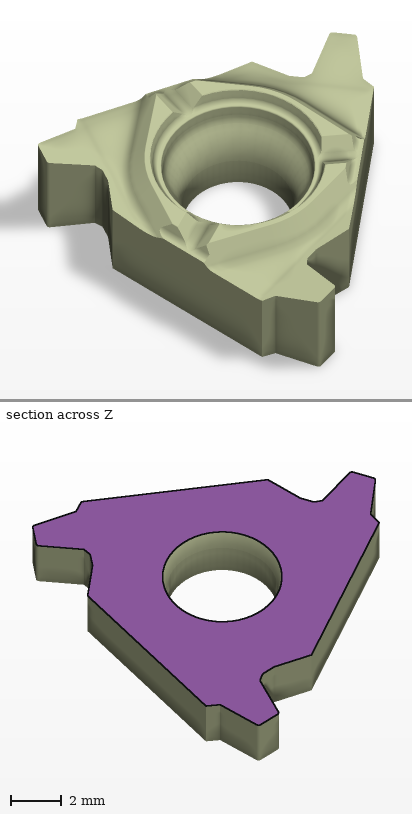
import cadquery as cq
import math

REPEATS = 3
STEP_ANGLE = 360 / REPEATS
RIGHT_ANGLE = 90

total_height = 4.2
land_height = 3.43
tooth_height = 4.0
shelf_height = 3.69

inscribed_radius = 9.525 / 2
tooth_tip_y = -6.987
tooth_foot_y = -5.17
tooth_flank_angle = 15
tooth_tip_left = -3.80
tooth_tip_right = -2.74
tooth_tip_fillet = 0.13
corner_y = -4.875
valley_start = (-1.965, -4.97)
valley_end = (-1.385, -4.965)
valley_fillet = 0.16
shoulder_tip_x = 0.16
outline_reach = 10.0
selection_reach = 0.05

ramp_start_y = -4.70
ramp_blend_length = 0.06

collar_top_reach = 3.68
collar_wall_angle = 47
collar_fillet = 0.38
collar_arc_angle = 31.5

hole_radius = 2.2
seat_height = 1.32
seat_curve_radius = 2.25
seat_curve_angle = 44
bore_bottom_radius = 2.98
bore_bottom_height = 3.23
bore_radius = 3.02
bore_edge_radius = 0.06
shelf_fillet_inner = 3.15
shelf_fillet_outer = 3.35
shelf_fillet_top = 3.82
recess_radius = 3.46

notch_angle = 193.6
notch_wall_angle = 38
notch_floor_width = 0.06
notch_floor_fillet = 0.30
notch_half_width = 0.73
notch_inner_radius = 3.0

step_rim_width = 0.10
step_curve_width = 0.25
step_curve_height = 0.17
step_depth = 0.49
step_y_min = -1.98
step_y_max = 0.48

top_edge_fillet = 0.04


def turned(point, degrees):
    """Rotate a plan point about the hole axis."""
    angle = math.radians(degrees)
    x, y = point
    return (
        x * math.cos(angle) - y * math.sin(angle),
        x * math.sin(angle) + y * math.cos(angle),
    )


def three_around(shape):
    """Unite the shape with its two copies turned about the hole axis."""
    united = shape
    for index in range(1, REPEATS):
        united = united.union(shape.rotate((0, 0, 0), (0, 0, 1), index * STEP_ANGLE))
    return united


def outline_prism(height):
    """Prism of the whole plan outline, with its three teeth."""
    flank_run = (tooth_foot_y - tooth_tip_y) * math.tan(math.radians(tooth_flank_angle))
    side_normal = math.radians(STEP_ANGLE / 2)
    shoulder_tip_y = (shoulder_tip_x * math.cos(side_normal) - inscribed_radius) / math.sin(side_normal)
    corner = (-inscribed_radius, corner_y)
    foot_left = (tooth_tip_left - flank_run, tooth_foot_y)
    tip_left = (tooth_tip_left, tooth_tip_y)
    tip_right = (tooth_tip_right, tooth_tip_y)
    foot_right = (tooth_tip_right + flank_run, tooth_foot_y)
    shoulder_tip = (shoulder_tip_x, shoulder_tip_y)
    tooth_points = (foot_left, tip_left, tip_right, foot_right, valley_start, valley_end, shoulder_tip)
    fillets = {
        tip_left: tooth_tip_fillet,
        tip_right: tooth_tip_fillet,
        valley_start: valley_fillet,
        valley_end: valley_fillet,
    }

    outline = cq.Workplane("XY").moveTo(*corner)
    for index in range(REPEATS):
        angle = index * STEP_ANGLE
        if index:
            outline = outline.lineTo(*turned(corner, angle))
        for point in tooth_points:
            outline = outline.lineTo(*turned(point, angle))
    prism = outline.close().extrude(height)

    for index in range(REPEATS):
        for point, radius in fillets.items():
            x, y = turned(point, index * STEP_ANGLE)
            near_point = cq.selectors.BoxSelector(
                (x - selection_reach, y - selection_reach, 0),
                (x + selection_reach, y + selection_reach, height),
            )
            prism = prism.edges("|Z").edges(near_point).fillet(radius)
    return prism


def tooth_ramp():
    """Wedge that lifts the top of the lower tooth towards its tip."""
    slope = (tooth_height - land_height) / (ramp_start_y - tooth_tip_y)
    blend_rise = slope * ramp_blend_length
    return (
        cq.Workplane("YZ")
        .moveTo(ramp_start_y + ramp_blend_length, 0)
        .lineTo(ramp_start_y + ramp_blend_length, land_height)
        .threePointArc(
            (ramp_start_y, land_height + blend_rise / 4),
            (ramp_start_y - ramp_blend_length, land_height + blend_rise),
        )
        .lineTo(tooth_tip_y, tooth_height)
        .lineTo(tooth_tip_y, 0)
        .close()
        .extrude(outline_reach, both=True)
    )


def collar_section(plane, outward):
    """Half section of the collar: sloped wall with a fillet at its foot."""
    wall = math.radians(collar_wall_angle)
    foot = collar_top_reach + (total_height - land_height) / math.tan(wall)
    tangent_length = collar_fillet * math.tan(wall / 2)
    wall_end = (
        outward * (foot - tangent_length * math.cos(wall)),
        land_height + tangent_length * math.sin(wall),
    )
    fillet_end = foot + tangent_length
    arc_middle = (
        outward * (fillet_end - collar_fillet * math.sin(wall / 2)),
        land_height + collar_fillet * (1 - math.cos(wall / 2)),
    )
    return (
        cq.Workplane(plane)
        .lineTo(0, total_height)
        .lineTo(outward * collar_top_reach, total_height)
        .lineTo(*wall_end)
        .threePointArc(arc_middle, (outward * fillet_end, land_height))
        .lineTo(outward * fillet_end, 0)
        .close()
    )


def collar():
    """Round collar stretched into three nearly square lobes."""
    lobe_along_x = collar_section("YZ", -1).extrude(outline_reach)
    lobe_along_y = collar_section("XZ", 1).extrude(outline_reach)
    lobe_turn = STEP_ANGLE - RIGHT_ANGLE - collar_arc_angle
    lobe_along_y = lobe_along_y.rotate((0, 0, 0), (0, 0, 1), lobe_turn)
    lobes = three_around(lobe_along_x.intersect(lobe_along_y))
    round_part = collar_section("XZ", 1).revolve(360, (0, 0, 0), (0, 1, 0))
    return lobes.union(round_part)


def screw_hole():
    """Through hole with a curved screw seat, a bore and a shallow recess above it."""
    curve = math.radians(seat_curve_angle)
    seat_center = hole_radius + seat_curve_radius
    seat_top = (
        seat_center - seat_curve_radius * math.cos(curve),
        seat_height + seat_curve_radius * math.sin(curve),
    )
    seat_middle = (
        seat_center - seat_curve_radius * math.cos(curve / 2),
        seat_height + seat_curve_radius * math.sin(curve / 2),
    )
    edge_inset = bore_edge_radius * (1 - math.sqrt(0.5))
    return (
        cq.Workplane("XZ")
        .lineTo(hole_radius, 0)
        .lineTo(hole_radius, seat_height)
        .threePointArc(seat_middle, seat_top)
        .tangentArcPoint((bore_bottom_radius, bore_bottom_height), relative=False)
        .lineTo(bore_radius, shelf_height - bore_edge_radius)
        .threePointArc(
            (bore_radius + edge_inset, shelf_height - edge_inset),
            (bore_radius + bore_edge_radius, shelf_height),
        )
        .lineTo(shelf_fillet_inner, shelf_height)
        .tangentArcPoint((shelf_fillet_outer, shelf_fillet_top), relative=False)
        .lineTo(recess_radius, total_height)
        .lineTo(0, total_height)
        .close()
        .revolve(360, (0, 0, 0), (0, 1, 0))
    )


def notch():
    """Radial groove with sloped walls and a filleted narrow floor."""
    wall = math.radians(notch_wall_angle)
    half_floor = notch_floor_width / 2
    fillet_x = half_floor + notch_floor_fillet * math.sin(wall)
    fillet_z = shelf_height + notch_floor_fillet * (1 - math.cos(wall))
    middle_x = half_floor + notch_floor_fillet * math.sin(wall / 2)
    middle_z = shelf_height + notch_floor_fillet * (1 - math.cos(wall / 2))
    groove = (
        cq.Workplane("YZ", origin=(notch_inner_radius, 0, 0))
        .moveTo(-half_floor, shelf_height)
        .lineTo(half_floor, shelf_height)
        .threePointArc((middle_x, middle_z), (fillet_x, fillet_z))
        .lineTo(notch_half_width, total_height)
        .lineTo(-notch_half_width, total_height)
        .lineTo(-fillet_x, fillet_z)
        .threePointArc((-middle_x, middle_z), (-half_floor, shelf_height))
        .close()
        .extrude(outline_reach)
    )
    return groove.rotate((0, 0, 0), (0, 0, 1), notch_angle)


def side_step():
    """Step along the left flat side: narrow rim, concave rise and sloped back wall."""
    rim_x = -inscribed_radius + step_rim_width
    return (
        cq.Workplane("XZ", origin=(0, step_y_max, 0))
        .moveTo(-outline_reach, shelf_height)
        .lineTo(rim_x, shelf_height)
        .tangentArcPoint((step_curve_width, step_curve_height))
        .lineTo(-inscribed_radius + step_depth, total_height)
        .lineTo(-outline_reach, total_height)
        .close()
        .extrude(step_y_max - step_y_min)
    )


tall_outline = outline_prism(total_height)
raised = three_around(tooth_ramp()).union(collar()).intersect(tall_outline)
body = outline_prism(land_height).union(raised)
body = body.cut(screw_hole()).cut(three_around(notch())).cut(three_around(side_step()))
result = body.faces(">Z").edges().fillet(top_edge_fillet)